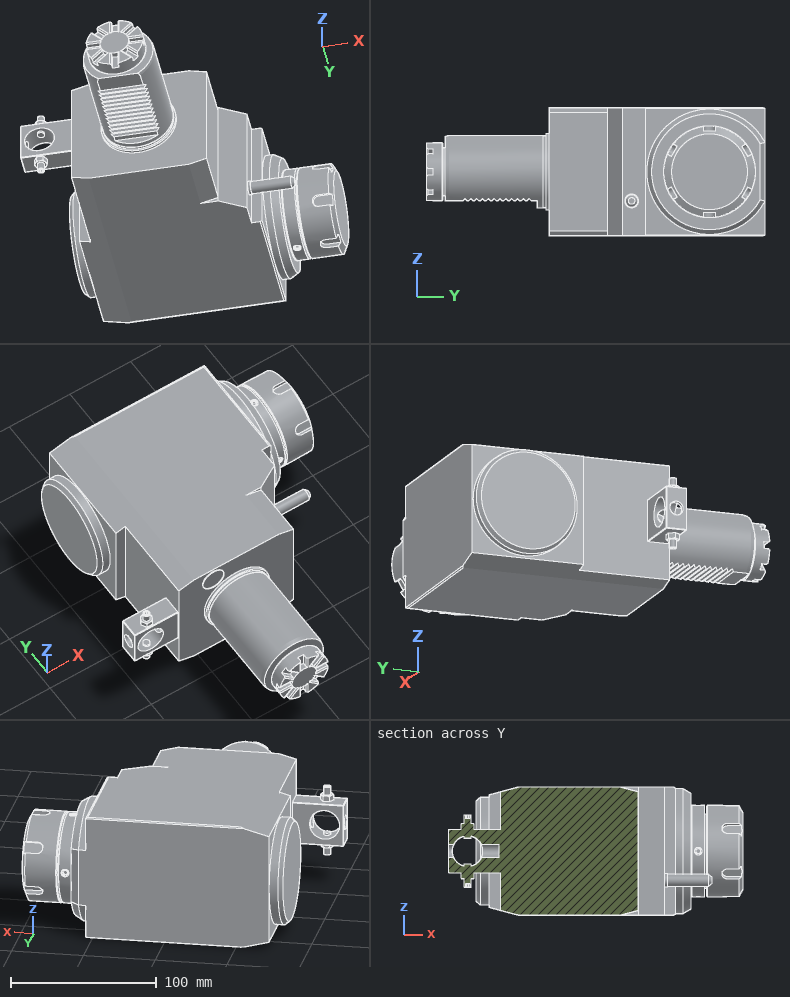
import cadquery as cq
import math


HOUSING_HALF_HEIGHT = 44.0
HOUSING_BACK_Y = 148.0
SHANK_BLOCK_HALF_WIDTH = 47.3
HEAD_LEFT_X = -55.0
HEAD_RIGHT_X = 72.7
HEAD_BOTTOM_Y = 66.0
ARM_RIGHT_X = 65.3
ARM_CORNER_Y = 50.4
SLOPE_FOOT_Y = 40.0
BEVEL_START_X = 35.0
BEVEL_ANGLE = math.radians(15)
EDGE_BEVEL_WIDTH = 1.3
EDGE_BEVEL_DEPTH = 0.7
MARK_X, MARK_Z = -18.6, 32.2
MARK_DIAMETER = 17.4
MARK_DEPTH = 0.5

SPINDLE_Y = 110.0
COVER_RADIUS = 37.0
COVER_LEFT_X = -64.1
COVER_BEVEL_LENGTH = 3.0
COVER_BEVEL_DEPTH = 2.6
FLANGE_RADIUS = 43.0
FLANGE_BEVEL_X = 77.7
FLANGE_END_X = 83.4
FLANGE_BEVEL_DEPTH = 3.3
COLLAR_RADIUS = 31.5
COLLAR_RELIEF_RADIUS = 31.0
COLLAR_START_X = 84.1
COLLAR_END_X = 92.7
GROOVE_RADIUS = 25.5
NUT_START_X = 94.1
NUT_START_BEVEL = 0.6
NUT_BEVEL_X = 116.3
NUT_END_X = 119.1
NUT_END_RADIUS = 26.0
NUT_SLOT_COUNT = 6
NUT_SLOT_WIDTH = 8.0
NUT_SLOT_START_X = 104.5
NUT_SLOT_FLOOR = 27.9
SET_SCREW_X = 88.3
SET_SCREW_COUNT = 4
SET_SCREW_DIAMETER = 5.2
SET_SCREW_RECESS = 1.0
SET_SCREW_SOCKET = 3.4
SET_SCREW_SOCKET_DEPTH = 2.5

SHANK_RADIUS = 25.0
SEAT_RING_RADIUS = 26.25
SEAT_RING_LENGTH = 2.1
SEAT_RELIEF_RADIUS = 24.8
SEAT_RELIEF_LENGTH = 4.1
SHANK_BEVEL_LENGTH = 68.5
SHANK_LENGTH = 71.3
SHANK_END_RADIUS = 24.3
NECK_RADIUS = 16.5
NECK_LENGTH = 72.8
FLAT_DEPTH_Z = 20.0
FLAT_START = 8.2
TOOTH_COUNT = 12
TOOTH_PITCH = 4.0
TOOTH_FIRST = 13.6
TOOTH_DEPTH = 1.5

COUPLING_RADIUS = 20.0
COUPLING_END = 84.0
COUPLING_START_BEVEL = 0.6
COUPLING_HUB_RADIUS = 10.0
COUPLING_SLOT_COUNT = 8
COUPLING_SLOT_WIDTH = 4.6
COUPLING_SLOT_DEPTH = 4.3
COUPLING_SLOT_BEVEL = 1.0

BRACKET_LEFT_X = -83.0
BRACKET_FRONT_Y = 0.9
BRACKET_THICKNESS = 15.2
BRACKET_HEIGHT = 30.0
BRACKET_BEVEL = 0.4
BRACKET_BORE_X = -69.8
BRACKET_BORE_DIAMETER = 20.8
CROSS_HOLE_DIAMETER = 9.7
CROSS_HOLE_PIT_DIAMETER = 2.5
CROSS_HOLE_PIT_DEPTH = 1.0
CLAMP_SCREW_Y = 6.2
CLAMP_SCREW_DIAMETER = 5.0
CLAMP_SCREW_BEVEL = 0.3
CLAMP_SCREW_INNER_Z = 8.8
CLAMP_SCREW_OUTER_Z = 24.9
CLAMP_SCREW_SOCKET = 2.9
CLAMP_SCREW_SOCKET_DEPTH = 2.5
CLAMP_NUT_ACROSS_FLATS = 8.0
CLAMP_NUT_HEIGHT = 4.0
CLAMP_NUT_BEVEL = 0.6

PIN_Y, PIN_Z = 56.6, -20.0
PIN_DIAMETER = 8.5
PIN_COLLAR_DIAMETER = 9.4
PIN_COLLAR_END_X = 67.2
PIN_BEVEL_X = 95.2
PIN_END_X = 97.6
PIN_BEVEL_DEPTH = 2.0

OVERLAP = 2.0


def cylinder_x(x_start, x_end, radius, y=0.0, z=0.0):
    disc = cq.Workplane("YZ", origin=(x_start, y, z)).circle(radius)
    return disc.extrude(x_end - x_start)


def cylinder_y(y_start, y_end, radius, x=0.0, z=0.0):
    disc = cq.Workplane("XZ", origin=(x, y_start, z)).circle(radius)
    return disc.extrude(y_start - y_end)


def box_between(x_range, y_range, z_range):
    sizes = [high - low for low, high in (x_range, y_range, z_range)]
    corner = (x_range[0], y_range[0], z_range[0])
    return cq.Workplane("XY").box(*sizes, centered=False).translate(corner)


def bevel_wedge(start, end, depth, length_range):
    """Wedge along Y that lowers the top of the housing from X = start by depth at X = end."""
    points = [(start, HOUSING_HALF_HEIGHT), (end, HOUSING_HALF_HEIGHT - depth), (end, HOUSING_HALF_HEIGHT)]
    profile = cq.Workplane("XZ", origin=(0, length_range[0], 0)).polyline(points).close()
    return profile.extrude(length_range[0] - length_range[1])


def make_housing():
    outline = [
        (-SHANK_BLOCK_HALF_WIDTH, 0),
        (SHANK_BLOCK_HALF_WIDTH, 0),
        (SHANK_BLOCK_HALF_WIDTH, SLOPE_FOOT_Y),
        (ARM_RIGHT_X, ARM_CORNER_Y),
        (ARM_RIGHT_X, HEAD_BOTTOM_Y),
        (HEAD_RIGHT_X, HEAD_BOTTOM_Y),
        (HEAD_RIGHT_X, HOUSING_BACK_Y),
        (HEAD_LEFT_X, HOUSING_BACK_Y),
        (HEAD_LEFT_X, HEAD_BOTTOM_Y),
        (-SHANK_BLOCK_HALF_WIDTH, HEAD_BOTTOM_Y),
    ]
    housing = cq.Workplane("XY").polyline(outline).close().extrude(HOUSING_HALF_HEIGHT, both=True)

    def fall(x):
        return (abs(x) - BEVEL_START_X) * math.tan(BEVEL_ANGLE)

    left_end = HEAD_LEFT_X - OVERLAP
    right_end = SHANK_BLOCK_HALF_WIDTH + OVERLAP
    back_edge = [
        (HOUSING_BACK_Y - EDGE_BEVEL_WIDTH, HOUSING_HALF_HEIGHT),
        (HOUSING_BACK_Y, HOUSING_HALF_HEIGHT - EDGE_BEVEL_DEPTH),
        (HOUSING_BACK_Y, HOUSING_HALF_HEIGHT),
    ]
    back_wedge = cq.Workplane("YZ", origin=(HEAD_LEFT_X, 0, 0)).polyline(back_edge).close()
    wedges = [
        bevel_wedge(-BEVEL_START_X, left_end, fall(left_end), (0, HOUSING_BACK_Y)),
        bevel_wedge(BEVEL_START_X, right_end, fall(right_end), (0, SLOPE_FOOT_Y)),
        bevel_wedge(
            HEAD_RIGHT_X - EDGE_BEVEL_WIDTH, HEAD_RIGHT_X, EDGE_BEVEL_DEPTH, (HEAD_BOTTOM_Y, HOUSING_BACK_Y)
        ),
        back_wedge.extrude(HEAD_RIGHT_X - HEAD_LEFT_X),
    ]
    for wedge in wedges:
        housing = housing.cut(wedge).cut(wedge.mirror("XY"))
    return housing.cut(cylinder_y(0, MARK_DEPTH, MARK_DIAMETER / 2, MARK_X, MARK_Z))


def make_cover():
    """Round bevelled cover on the left end of the spindle bore."""
    cover = cylinder_x(COVER_LEFT_X, HEAD_LEFT_X + OVERLAP, COVER_RADIUS, SPINDLE_Y)
    return cover.faces("<X").chamfer(COVER_BEVEL_LENGTH, COVER_BEVEL_DEPTH)


def make_flange():
    """Spindle flange, cut off flush with the back of the housing and bevelled all round."""
    flange = cylinder_x(HEAD_RIGHT_X - OVERLAP, FLANGE_END_X, FLANGE_RADIUS, SPINDLE_Y)
    behind = box_between(
        (HEAD_RIGHT_X - 2 * OVERLAP, FLANGE_END_X + OVERLAP),
        (HOUSING_BACK_Y, SPINDLE_Y + FLANGE_RADIUS + OVERLAP),
        (-FLANGE_RADIUS, FLANGE_RADIUS),
    )
    return flange.cut(behind).faces(">X").chamfer(FLANGE_END_X - FLANGE_BEVEL_X, FLANGE_BEVEL_DEPTH)


def make_collar():
    collar = cylinder_x(COLLAR_START_X, COLLAR_END_X, COLLAR_RADIUS, SPINDLE_Y)
    collar = collar.union(cylinder_x(FLANGE_END_X - OVERLAP, COLLAR_END_X, COLLAR_RELIEF_RADIUS, SPINDLE_Y))
    for index in range(SET_SCREW_COUNT):
        angle = index * 360 / SET_SCREW_COUNT
        hole = cq.Workplane("XY", origin=(SET_SCREW_X, SPINDLE_Y, COLLAR_RADIUS))
        recess = hole.circle(SET_SCREW_DIAMETER / 2).extrude(-SET_SCREW_RECESS)
        socket = hole.circle(SET_SCREW_SOCKET / 2).extrude(-SET_SCREW_SOCKET_DEPTH)
        collar = collar.cut(about_spindle(recess.union(socket), angle))
    return collar


def about_spindle(piece, angle):
    return piece.rotate((0, SPINDLE_Y, 0), (1, SPINDLE_Y, 0), angle)


def make_nut():
    """Clamping nut with a bevelled nose and spanner slots, on a thinner core."""
    profile = (
        cq.Workplane("XY", origin=(0, SPINDLE_Y, 0))
        .moveTo(NUT_START_X, 0)
        .lineTo(NUT_START_X, COLLAR_RADIUS - NUT_START_BEVEL)
        .lineTo(NUT_START_X + NUT_START_BEVEL, COLLAR_RADIUS)
        .lineTo(NUT_BEVEL_X, COLLAR_RADIUS)
        .lineTo(NUT_END_X, NUT_END_RADIUS)
        .lineTo(NUT_END_X, 0)
        .close()
    )
    nut = profile.revolve(360, (0, 0, 0), (1, 0, 0))
    slot_end_x = NUT_END_X + NUT_SLOT_WIDTH
    slot_length = slot_end_x - NUT_SLOT_START_X
    slot = (
        cq.Workplane("XY", origin=((NUT_SLOT_START_X + slot_end_x) / 2, SPINDLE_Y, NUT_SLOT_FLOOR))
        .slot2D(slot_length, NUT_SLOT_WIDTH)
        .extrude(COLLAR_RADIUS)
    )
    for index in range(NUT_SLOT_COUNT):
        nut = nut.cut(about_spindle(slot, index * 360 / NUT_SLOT_COUNT))
    core = cylinder_x(COLLAR_END_X - OVERLAP, NUT_START_X + OVERLAP, GROOVE_RADIUS, SPINDLE_Y)
    return nut.union(core)


def make_shank():
    """Cylindrical shank with a flat underneath that carries V-shaped clamping teeth."""
    points = [
        (0, OVERLAP),
        (SEAT_RING_RADIUS, OVERLAP),
        (SEAT_RING_RADIUS, -SEAT_RING_LENGTH),
        (SEAT_RELIEF_RADIUS, -SEAT_RING_LENGTH),
        (SEAT_RELIEF_RADIUS, -SEAT_RELIEF_LENGTH),
        (SHANK_RADIUS, -SEAT_RELIEF_LENGTH),
        (SHANK_RADIUS, -SHANK_BEVEL_LENGTH),
        (SHANK_END_RADIUS, -SHANK_LENGTH),
        (NECK_RADIUS, -SHANK_LENGTH),
        (NECK_RADIUS, -NECK_LENGTH),
        (COUPLING_RADIUS - COUPLING_START_BEVEL, -NECK_LENGTH),
        (COUPLING_RADIUS, -NECK_LENGTH - COUPLING_START_BEVEL),
        (COUPLING_RADIUS, -COUPLING_END),
        (0, -COUPLING_END),
    ]
    shank = cq.Workplane("XY").polyline(points).close().revolve(360, (0, 0, 0), (0, 1, 0))
    across = (-SHANK_RADIUS, SHANK_RADIUS)
    shank = shank.cut(box_between(across, (-SHANK_LENGTH, -FLAT_START), (-2 * SHANK_RADIUS, -FLAT_DEPTH_Z)))
    for index in range(TOOTH_COUNT):
        y = -TOOTH_FIRST - index * TOOTH_PITCH
        notch = [
            (y - TOOTH_DEPTH, -FLAT_DEPTH_Z),
            (y, TOOTH_DEPTH - FLAT_DEPTH_Z),
            (y + TOOTH_DEPTH, -FLAT_DEPTH_Z),
        ]
        shank = shank.cut(cq.Workplane("YZ").polyline(notch).close().extrude(SHANK_RADIUS, both=True))
    return shank


def cut_coupling_slots(shank):
    """Radial driving slots with bevelled rims, stopping at the round hub."""
    half = COUPLING_SLOT_WIDTH / 2
    rim = half + COUPLING_SLOT_BEVEL
    floor_y = COUPLING_SLOT_DEPTH - COUPLING_END
    rim_y = COUPLING_SLOT_BEVEL - COUPLING_END
    section = [
        (-half, floor_y),
        (half, floor_y),
        (half, rim_y),
        (rim, -COUPLING_END),
        (-rim, -COUPLING_END),
        (-half, rim_y),
    ]
    slot = cq.Workplane("XY").polyline(section).close().extrude(COUPLING_RADIUS + OVERLAP)
    slot = slot.cut(cylinder_y(-COUPLING_END, floor_y, COUPLING_HUB_RADIUS))
    for index in range(COUPLING_SLOT_COUNT):
        angle = index * 360 / COUPLING_SLOT_COUNT
        shank = shank.cut(slot.rotate((0, 0, 0), (0, 1, 0), angle))
    return shank


def make_bracket():
    """Rectangular bracket with a bore along Y, a cross hole along X and two clamping screws."""
    half_height = BRACKET_HEIGHT / 2
    back_y = BRACKET_FRONT_Y + BRACKET_THICKNESS
    middle_y = BRACKET_FRONT_Y + BRACKET_THICKNESS / 2
    bracket = box_between(
        (BRACKET_LEFT_X, OVERLAP - SHANK_BLOCK_HALF_WIDTH),
        (BRACKET_FRONT_Y, back_y),
        (-half_height, half_height),
    )
    bracket = bracket.edges("|X or <X").chamfer(BRACKET_BEVEL)
    bracket = bracket.cut(cylinder_y(BRACKET_FRONT_Y, back_y, BRACKET_BORE_DIAMETER / 2, BRACKET_BORE_X))
    hole_end_x = -SHANK_BLOCK_HALF_WIDTH - CROSS_HOLE_PIT_DEPTH
    bracket = bracket.cut(cylinder_x(BRACKET_LEFT_X, hole_end_x, CROSS_HOLE_DIAMETER / 2, middle_y))
    pit = cylinder_x(hole_end_x, -SHANK_BLOCK_HALF_WIDTH, CROSS_HOLE_PIT_DIAMETER / 2, middle_y)
    bracket = bracket.cut(pit)
    screw = make_clamp_screw()
    return bracket.union(screw).union(screw.mirror("XY"))


def make_clamp_screw():
    """Upper socket set screw with its hexagonal lock nut."""
    half_height = BRACKET_HEIGHT / 2
    rod_length = CLAMP_SCREW_OUTER_Z - CLAMP_SCREW_INNER_Z
    base = cq.Workplane("XY", origin=(BRACKET_BORE_X, CLAMP_SCREW_Y, 0))
    rod = base.workplane(offset=CLAMP_SCREW_INNER_Z).circle(CLAMP_SCREW_DIAMETER / 2)
    rod = rod.extrude(rod_length).faces(">Z").chamfer(CLAMP_SCREW_BEVEL)
    across_corners = CLAMP_NUT_ACROSS_FLATS / math.cos(math.pi / 6)
    nut = base.workplane(offset=half_height).polygon(6, across_corners).extrude(CLAMP_NUT_HEIGHT)
    nut_bevel = (
        base.workplane(offset=half_height)
        .circle(across_corners / 2)
        .extrude(CLAMP_NUT_HEIGHT)
        .faces(">Z")
        .chamfer(CLAMP_NUT_BEVEL)
    )
    socket = base.workplane(offset=CLAMP_SCREW_OUTER_Z).polygon(6, CLAMP_SCREW_SOCKET)
    return nut.intersect(nut_bevel).union(rod).cut(socket.extrude(-CLAMP_SCREW_SOCKET_DEPTH))


def make_pin():
    """Stop pin beside the spindle, with a short collar at its root."""
    root_x = ARM_RIGHT_X - OVERLAP
    pin = cylinder_x(root_x, PIN_END_X, PIN_DIAMETER / 2, PIN_Y, PIN_Z)
    pin = pin.faces(">X").chamfer(PIN_END_X - PIN_BEVEL_X, PIN_BEVEL_DEPTH)
    return pin.union(cylinder_x(root_x, PIN_COLLAR_END_X, PIN_COLLAR_DIAMETER / 2, PIN_Y, PIN_Z))


pieces = [
    make_cover(),
    make_flange(),
    make_collar(),
    make_nut(),
    cut_coupling_slots(make_shank()),
    make_bracket(),
    make_pin(),
]
result = make_housing()
for piece in pieces:
    result = result.union(piece)